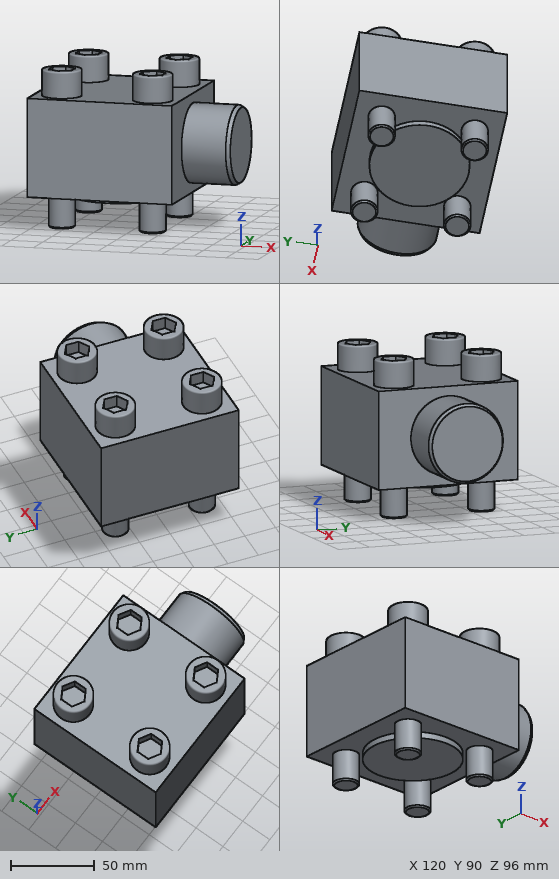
import cadquery as cq
import math

block_side = 90.0
block_height = 60.0

spigot_diameter = 60.0
spigot_height = 4.0

pipe_diameter = 48.3
pipe_length = 30.0
pipe_bevel_angle = 30.0
pipe_bevel_length = 2.5

bolt_circle_diameter = 80.0
screw_count = 4
first_screw_angle = 45.0
shank_diameter = 16.0
shank_projection = 20.0
shank_chamfer = 1.0
head_diameter = 24.0
head_height = 16.0
head_edge_radius = 1.0
socket_across_flats = 14.0
socket_depth = 8.0

pipe_bevel_depth = pipe_bevel_length * math.tan(math.radians(pipe_bevel_angle))
socket_across_corners = socket_across_flats / math.cos(math.pi / 6)


def make_block():
    """Square block standing on the XY plane, centred on the Z axis."""
    return cq.Workplane("XY").box(block_side, block_side, block_height, centered=(True, True, False))


def make_spigot():
    """Shallow disc projecting below the block."""
    return cq.Workplane("XY").circle(spigot_diameter / 2).extrude(-spigot_height)


def make_pipe():
    """Pipe stub at mid height of the block, bevelled at its free end."""
    return (
        cq.Workplane("YZ", origin=(block_side / 2, 0, block_height / 2))
        .circle(pipe_diameter / 2)
        .extrude(pipe_length)
        .faces(">X")
        .chamfer(pipe_bevel_length, pipe_bevel_depth)
    )


def make_screw():
    """Socket head screw on the Z axis: head above the block, shank end below it."""
    shank = (
        cq.Workplane("XY", origin=(0, 0, -shank_projection))
        .circle(shank_diameter / 2)
        .extrude(shank_projection + block_height)
        .faces("<Z")
        .chamfer(shank_chamfer)
    )
    head = (
        cq.Workplane("XY", origin=(0, 0, block_height))
        .circle(head_diameter / 2)
        .extrude(head_height)
        .faces(">Z")
        .fillet(head_edge_radius)
    )
    socket = (
        cq.Workplane("XY", origin=(0, 0, block_height + head_height))
        .transformed(rotate=(0, 0, 90))
        .polygon(6, socket_across_corners)
        .extrude(-socket_depth)
    )
    return shank.union(head).cut(socket)


def add_screws(body):
    """Join the screws to the body around the bolt circle."""
    screw = make_screw()
    radius = bolt_circle_diameter / 2
    for index in range(screw_count):
        angle = math.radians(first_screw_angle + index * 360 / screw_count)
        position = (radius * math.cos(angle), radius * math.sin(angle), 0)
        body = body.union(screw.translate(position))
    return body


result = add_screws(make_block().union(make_spigot()).union(make_pipe()))